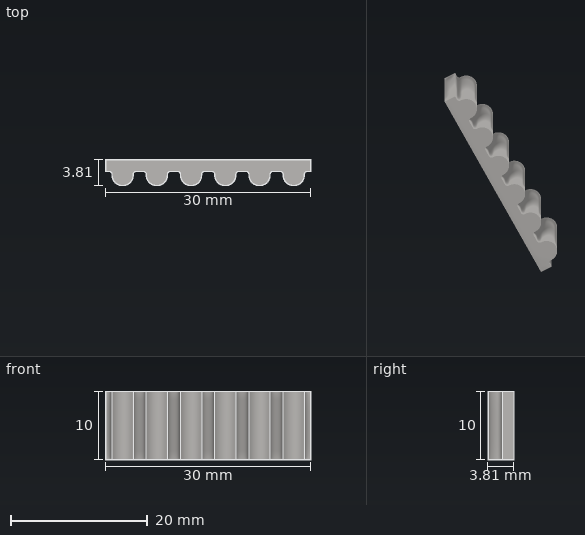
import cadquery as cq

pitch = 5.0
tooth_count = 6
belt_width = 10.0
total_thickness = 3.81

tooth_height = 2.08
tooth_radius = 1.5625
root_fillet = 0.416

length = pitch * tooth_count
left_end = -length / 2
right_end = length / 2
back_y = total_thickness
root_y = tooth_height
flank_top_y = root_y - root_fillet
tip_centre_y = tooth_radius


def add_tooth(outline, centre_x):
    """Continue the outline from the root land around one round-tipped tooth."""
    left_flank = centre_x - tooth_radius
    right_flank = centre_x + tooth_radius
    return (
        outline.lineTo(left_flank - root_fillet, root_y)
        .tangentArcPoint((left_flank, flank_top_y), relative=False)
        .lineTo(left_flank, tip_centre_y)
        .threePointArc((centre_x, 0), (right_flank, tip_centre_y))
        .lineTo(right_flank, flank_top_y)
        .tangentArcPoint((right_flank + root_fillet, root_y), relative=False)
    )


def belt_outline():
    """Closed belt profile in the XY plane: flat back at +Y, teeth toward -Y."""
    outline = cq.Workplane("XY", origin=(0, 0, -belt_width / 2))
    outline = outline.moveTo(left_end, back_y).lineTo(left_end, root_y)
    for tooth in range(tooth_count):
        outline = add_tooth(outline, left_end + (tooth + 0.5) * pitch)
    return outline.lineTo(right_end, root_y).lineTo(right_end, back_y).close()


result = belt_outline().extrude(belt_width)